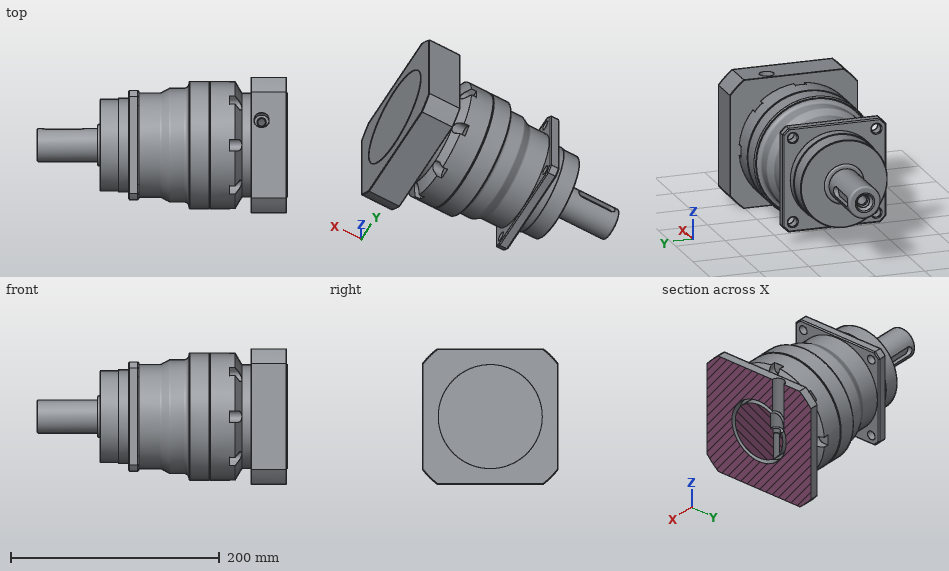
import cadquery as cq
import math


TOTAL_LENGTH = 239.8
COLLAR_START = 57.8
HOUSING_START = 60.2
PILOT_STEP = 78.2
FLANGE_START = 87.5
FLANGE_END = 97.5
FLARE_START = 118.7
FLARE_END = 127.3
RING_START = 145.3
RING_END = 165.5
REAR_CONE_START = 189.7
REAR_CONE_END = 196.2
PLATE_START = 204.8
PLATE_END = 239.0

SHAFT_RADIUS = 16.0
SHAFT_END_FILLET = 2.0
COLLAR_RADIUS = 20.1
COLLAR_FILLET = 2.2

KEYWAY_WIDTH = 10.0
KEYWAY_LENGTH = 40.0
KEYWAY_DEPTH = 5.0
KEYWAY_START = 5.0

CENTRE_MOUTH_RADIUS = 9.8
CENTRE_CONE_RADIUS = 8.5
CENTRE_BORE_RADIUS = 6.2
CENTRE_CORE_RADIUS = 4.8
CENTRE_MOUTH_DEPTH = 0.7
CENTRE_CONE_DEPTH = 4.3
CENTRE_BORE_DEPTH = 9.5
CENTRE_CORE_DEPTH = 26.4
DRILL_TIP_HALF_ANGLE = math.radians(59)

PILOT_RADIUS = 44.1
PILOT_CHAMFER = 0.7
PILOT_BACK_RADIUS = 45.0
NECK_RADIUS = 50.0
FLARE_RADIUS = 54.7
FLARE_BLEND = 2.5
SHOULDER_FILLET = 4.3

FLANGE_SIDE = 104.8
FLANGE_CORNER_RADIUS = 70.0
FLANGE_CHAMFER = 1.2
FLANGE_HOLE_OFFSET = 42.5
FLANGE_HOLE_DIAMETER = 9.4
FLANGE_HOLE_CHAMFER = 1.0

RING_RADIUS = 61.1
RING_CHAMFER = 1.2
JOINT_CHAMFER = 0.7

REAR_NECK_RADIUS = 49.9

NOTCH_COUNT = 8
NOTCH_START = 184.5
NOTCH_RADIUS = 5.5

PLATE_SIDE = 130.0
PLATE_CORNER_RADIUS = 82.5
PLATE_FRONT_CHAMFER = 0.5
PLATE_REAR_CHAMFER = 0.7
BOSS_RADIUS = 49.9

ACCESS_X = 215.0
ACCESS_Y = 24.0
ACCESS_DIAMETER = 14.5
CAVITY_RADIUS = 33.5
CAVITY_DEPTH = 21.5

HUB_RADIUS = 30.0
HUB_LENGTH = 19.2
SCREW_Y = 21.8
SCREW_SEAT_DIAMETER = 14.5
SCREW_SEAT_Z = 9.5
SCREW_ENTRY_DIAMETER = 8.9
SCREW_ENTRY_DEPTH = 4.8
SCREW_HOLE_DIAMETER = 7.2


def across_x(x):
    """Workplane square to the X axis at station x, drawing in Y and Z."""
    return cq.Workplane("YZ", origin=(x, 0, 0))


def disc(x_start, x_end, radius):
    """Round bar along the X axis between two stations."""
    return across_x(x_start).circle(radius).extrude(x_end - x_start)


def turned(outline):
    """Close an (x, radius) outline that ends on the axis and turn it about X."""
    return outline.close().revolve(360, (0, 0, 0), (1, 0, 0))


def square_block(x_start, x_end, side, corner_radius):
    """Square block with its four corners turned to a radius about the X axis."""
    length = x_end - x_start
    block = across_x(x_start).rect(side, side).extrude(length)
    return block.intersect(disc(x_start, x_end, corner_radius))


def make_shaft():
    shaft = disc(0, HOUSING_START, SHAFT_RADIUS).faces("<X").edges().fillet(SHAFT_END_FILLET)
    collar = disc(COLLAR_START, HOUSING_START, COLLAR_RADIUS).faces("<X").edges().fillet(COLLAR_FILLET)
    return shaft.union(collar).cut(keyway()).cut(centre_hole())


def keyway():
    """Round-ended key pocket in the +Y side of the shaft."""
    middle = KEYWAY_START + KEYWAY_LENGTH / 2
    floor = SHAFT_RADIUS - KEYWAY_DEPTH
    plane = cq.Workplane("XZ", origin=(middle, floor, 0))
    return plane.slot2D(KEYWAY_LENGTH, KEYWAY_WIDTH).extrude(-SHAFT_RADIUS)


def centre_hole():
    """Stepped centre hole in the shaft end, closed by a drill point."""
    tip_depth = CENTRE_CORE_DEPTH + CENTRE_CORE_RADIUS / math.tan(DRILL_TIP_HALF_ANGLE)
    outline = (
        cq.Workplane("XY")
        .lineTo(0, CENTRE_MOUTH_RADIUS)
        .lineTo(CENTRE_MOUTH_DEPTH, CENTRE_CONE_RADIUS)
        .lineTo(CENTRE_CONE_DEPTH, CENTRE_BORE_RADIUS)
        .lineTo(CENTRE_BORE_DEPTH, CENTRE_BORE_RADIUS)
        .lineTo(CENTRE_BORE_DEPTH, CENTRE_CORE_RADIUS)
        .lineTo(CENTRE_CORE_DEPTH, CENTRE_CORE_RADIUS)
        .lineTo(tip_depth, 0)
    )
    return turned(outline)


def make_output_housing():
    pilot = disc(HOUSING_START, PILOT_STEP, PILOT_RADIUS).faces("<X").chamfer(PILOT_CHAMFER)
    pilot_back = disc(PILOT_STEP, FLANGE_START, PILOT_BACK_RADIUS)
    return pilot.union(pilot_back).union(mounting_flange()).union(flared_body())


def mounting_flange():
    flange = square_block(FLANGE_START, FLANGE_END, FLANGE_SIDE, FLANGE_CORNER_RADIUS)
    flange = flange.faces("<X or >X").chamfer(FLANGE_CHAMFER)
    hole_pitch = 2 * FLANGE_HOLE_OFFSET
    mouth_diameter = FLANGE_HOLE_DIAMETER + 2 * FLANGE_HOLE_CHAMFER
    return (
        flange.faces("<X").workplane(origin=(FLANGE_START, 0, 0))
        .rect(hole_pitch, hole_pitch, forConstruction=True)
        .vertices()
        .cskHole(FLANGE_HOLE_DIAMETER, mouth_diameter, 90)
    )


def flared_body():
    """Turned body behind the flange: neck, flare and a hollow shoulder fillet."""
    fillet_start = RING_START - SHOULDER_FILLET
    fillet_top = FLARE_RADIUS + SHOULDER_FILLET
    fillet_reach = SHOULDER_FILLET * math.sin(math.radians(45))
    fillet_middle = (fillet_start + fillet_reach, fillet_top - fillet_reach)
    outline = (
        cq.Workplane("XY")
        .moveTo(FLANGE_END, 0)
        .lineTo(FLANGE_END, NECK_RADIUS)
        .lineTo(FLARE_START, NECK_RADIUS)
        .lineTo(FLARE_END, FLARE_RADIUS)
        .lineTo(fillet_start, FLARE_RADIUS)
        .threePointArc(fillet_middle, (RING_START, fillet_top))
        .lineTo(RING_START, 0)
    )
    flare_rims = cq.selectors.BoxSelector(
        (FLARE_START - FLARE_BLEND, -RING_RADIUS, -RING_RADIUS),
        (FLARE_END + FLARE_BLEND, RING_RADIUS, RING_RADIUS),
    )
    return turned(outline).edges(flare_rims).edges("%CIRCLE").fillet(FLARE_BLEND)


def make_ring_gear():
    ring = disc(RING_START, RING_END, RING_RADIUS)
    return ring.faces("<X").chamfer(RING_CHAMFER).faces(">X").chamfer(JOINT_CHAMFER)


def make_rear_housing():
    outline = (
        cq.Workplane("XY")
        .moveTo(RING_END, 0)
        .lineTo(RING_END, RING_RADIUS - JOINT_CHAMFER)
        .lineTo(RING_END + JOINT_CHAMFER, RING_RADIUS)
        .lineTo(REAR_CONE_START, RING_RADIUS)
        .lineTo(REAR_CONE_END, REAR_NECK_RADIUS)
        .lineTo(PLATE_START, REAR_NECK_RADIUS)
        .lineTo(PLATE_START, 0)
    )
    housing = turned(outline)
    notch = rim_notch()
    for index in range(NOTCH_COUNT):
        angle = index * 360 / NOTCH_COUNT
        housing = housing.cut(notch.rotate((0, 0, 0), (1, 0, 0), angle))
    return housing


def rim_notch():
    """U-shaped notch at the top of the rear rim, its round floor touching the rear neck radius."""
    length = REAR_CONE_END - NOTCH_START
    floor_centre = REAR_NECK_RADIUS + NOTCH_RADIUS
    open_top = RING_RADIUS + NOTCH_RADIUS
    return (
        across_x(NOTCH_START)
        .moveTo(-NOTCH_RADIUS, floor_centre)
        .threePointArc((0, REAR_NECK_RADIUS), (NOTCH_RADIUS, floor_centre))
        .lineTo(NOTCH_RADIUS, open_top)
        .lineTo(-NOTCH_RADIUS, open_top)
        .close()
        .extrude(length)
    )


def make_adapter_plate():
    plate = square_block(PLATE_START, PLATE_END, PLATE_SIDE, PLATE_CORNER_RADIUS)
    plate = plate.faces("<X").chamfer(PLATE_FRONT_CHAMFER).faces(">X").chamfer(PLATE_REAR_CHAMFER)
    boss = disc(PLATE_END, TOTAL_LENGTH, BOSS_RADIUS)
    cavity = disc(PLATE_START, PLATE_START + CAVITY_DEPTH, CAVITY_RADIUS)
    access_hole = (
        cq.Workplane("XY", origin=(ACCESS_X, ACCESS_Y, 0))
        .circle(ACCESS_DIAMETER / 2)
        .extrude(PLATE_SIDE)
    )
    return plate.union(boss).cut(cavity).cut(access_hole)


def make_clamping_hub():
    """Hub inside the plate cavity with a stepped clamp screw hole below the access hole."""
    hub = disc(PLATE_START, PLATE_START + HUB_LENGTH, HUB_RADIUS)
    screw_axis = cq.Workplane("XY", origin=(ACCESS_X, SCREW_Y, SCREW_SEAT_Z))
    seat = screw_axis.circle(SCREW_SEAT_DIAMETER / 2).extrude(HUB_RADIUS)
    entry = screw_axis.circle(SCREW_ENTRY_DIAMETER / 2).extrude(-SCREW_ENTRY_DEPTH)
    hole = screw_axis.circle(SCREW_HOLE_DIAMETER / 2).extrude(2 * HUB_RADIUS, both=True)
    return hub.cut(seat).cut(entry).cut(hole)


shaft = make_shaft()
output_housing = make_output_housing()
ring_gear = make_ring_gear()
rear_housing = make_rear_housing()
adapter_plate = make_adapter_plate()
clamping_hub = make_clamping_hub()

result = cq.Compound.makeCompound([
    shaft.val(),
    output_housing.val(),
    ring_gear.val(),
    rear_housing.val(),
    adapter_plate.val(),
    clamping_hub.val(),
])